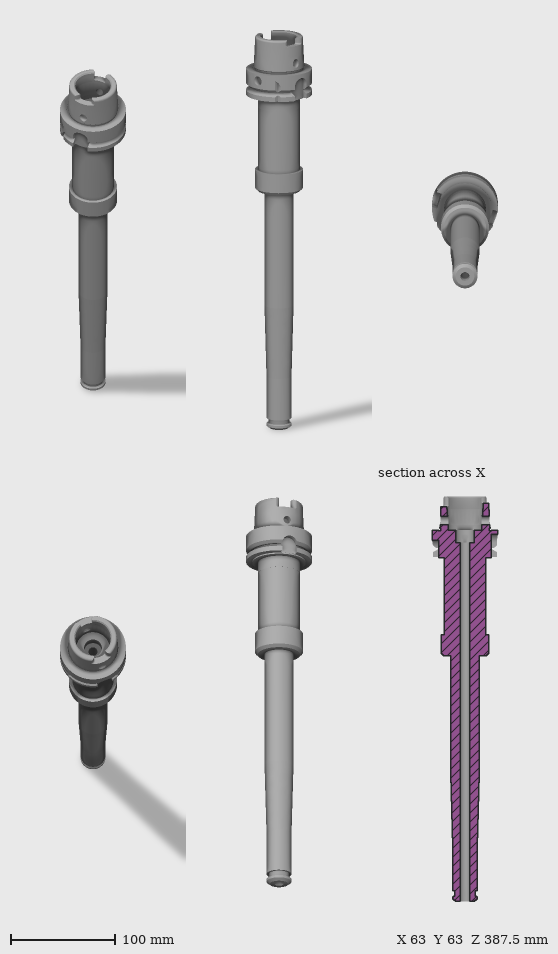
import cadquery as cq
import math


cutter_clearance = 4.0

shank_length = 32.0
total_length = 387.5
z_shank_top = shank_length
z_bottom = shank_length - total_length
z_relief_top = 2.5
z_groove_top = -14.5
z_groove_bottom = -21.0
z_flange_bottom = -25.5
z_hub_bottom = -26.7
z_collar_bottom = -38.0
z_nut_top = -99.5
z_nut_bottom = -120.5
z_taper_top = -234.0
z_taper_bottom = -304.0
z_neck_top = -345.3
z_neck_bottom = -350.0

shank_tip_radius = 45.7 / 2
shank_base_radius = 48.5 / 2
shank_tip_round = 2.0
relief_depth = 0.8
face_relief_radius = 25.0
face_relief_depth = 0.5
flange_radius = 63.0 / 2
groove_floor_radius = 26.7
groove_lip_radius = 28.5
groove_lip_height = 2.7
hub_radius = 25.5
collar_radius = 40.3 / 2
body_radius = 40.0 / 2
nut_radius = 46.0 / 2
nut_chamfer = 2.7
tube_radius = 28.0 / 2
tip_radius = 24.0 / 2
neck_radius = 19.8 / 2
tip_face_radius = 18.0 / 2
tip_flank = 0.8
tip_rim_height = 2.5

groove_flank = (flange_radius - groove_floor_radius) * math.tan(math.radians(30))

bore_mouth_radius = 18.2
bore_mouth_chamfer = 1.0
bore_radius = 34.0 / 2
bore_straight_depth = 11.5
bore_floor_radius = 16.0
bore_cone_depth = 15.5
z_bore_floor = 0.0
feed_bore_radius = 17.0 / 2
feed_bore_depth = 11.5
coolant_radius = 8.5 / 2

z_cross_hole = 9.3
cross_hole_radius = 7.5 / 2
cross_hole_rim_radius = 9.0 / 2

drive_slot_width = 12.0
drive_slot_flare = 4.3
drive_slot_floor_round = 1.5
drive_slot_depth_front = 6.2
drive_slot_depth_back = 9.5

keyway_width = 15.0
keyway_floor = 25.5
z_keyway_center_front = -11.5
z_keyway_center_back = -17.5
notch_center_x = -28.0
notch_floor = 20.5
chip_hole_radius = 9.0 / 2
chip_hole_y = -4.0
z_chip_hole = -6.5
chip_hole_depth = 4.5


def make_body():
    """Turned outer shape."""
    tip_flat_radius = shank_tip_radius - shank_tip_round
    tip_round_mid = shank_tip_round * math.sqrt(0.5)
    relief_radius = shank_base_radius - relief_depth
    lower_profile = [
        (shank_base_radius, z_relief_top),
        (relief_radius, z_relief_top - relief_depth),
        (relief_radius, -face_relief_depth),
        (face_relief_radius, -face_relief_depth),
        (face_relief_radius, 0),
        (flange_radius, 0),
        (flange_radius, z_groove_top),
        (groove_lip_radius, z_groove_top - groove_lip_height),
        (groove_floor_radius, z_groove_top - groove_lip_height),
        (groove_floor_radius, z_groove_bottom + groove_flank),
        (flange_radius, z_groove_bottom),
        (flange_radius, z_flange_bottom),
        (hub_radius, z_flange_bottom),
        (hub_radius, z_hub_bottom),
        (collar_radius, z_hub_bottom),
        (collar_radius, z_collar_bottom),
        (body_radius, z_collar_bottom),
        (body_radius, z_nut_top),
        (nut_radius, z_nut_top),
        (nut_radius, z_nut_bottom + nut_chamfer),
        (nut_radius - nut_chamfer, z_nut_bottom),
        (tube_radius, z_nut_bottom),
        (tube_radius, z_taper_top),
        (tip_radius, z_taper_bottom),
        (tip_radius, z_neck_top),
        (neck_radius, z_neck_top),
        (neck_radius, z_neck_bottom),
        (tip_radius, z_neck_bottom - tip_flank),
        (tip_radius, z_neck_bottom - tip_flank - tip_rim_height),
        (tip_face_radius, z_bottom),
        (0, z_bottom),
    ]
    outline = (
        cq.Workplane("XZ")
        .moveTo(0, z_shank_top)
        .lineTo(tip_flat_radius, z_shank_top)
        .threePointArc(
            (tip_flat_radius + tip_round_mid, z_shank_top - shank_tip_round + tip_round_mid),
            (shank_tip_radius, z_shank_top - shank_tip_round),
        )
    )
    for point in lower_profile:
        outline = outline.lineTo(*point)
    return outline.close().revolve(360, (0, 0), (0, 1))


def make_bores():
    """Clamping bore, feed bore and coolant hole as one turned cutter."""
    z_straight_end = z_shank_top - bore_straight_depth
    z_feed_end = z_bore_floor - feed_bore_depth
    profile = [
        (0, z_shank_top),
        (bore_mouth_radius, z_shank_top),
        (bore_radius, z_shank_top - bore_mouth_chamfer),
        (bore_radius, z_straight_end),
        (bore_floor_radius, z_straight_end - bore_cone_depth),
        (bore_floor_radius, z_bore_floor),
        (feed_bore_radius, z_bore_floor),
        (feed_bore_radius, z_feed_end),
        (coolant_radius, z_feed_end),
        (coolant_radius, z_bottom),
        (0, z_bottom),
    ]
    return cq.Workplane("XZ").polyline(profile).close().revolve(360, (0, 0), (0, 1))


def make_drive_slot(depth, side):
    """Slot across the shank wall whose sides flare outward in a rounded edge; side is -1 or 1 along Y."""
    half = drive_slot_width / 2
    flare_half = half + drive_slot_flare
    y_outer = math.sqrt(shank_tip_radius**2 - flare_half**2)
    y_inner = y_outer - drive_slot_flare
    y_clear = shank_base_radius + cutter_clearance
    bend = drive_slot_flare * (1 - math.sqrt(0.5))
    outline = (
        cq.Workplane("XY")
        .workplane(offset=z_shank_top - depth)
        .moveTo(-half, 0)
        .lineTo(half, 0)
        .lineTo(half, side * y_inner)
        .threePointArc((half + bend, side * (y_outer - bend)), (flare_half, side * y_outer))
        .lineTo(flare_half, side * y_clear)
        .lineTo(-flare_half, side * y_clear)
        .lineTo(-flare_half, side * y_outer)
        .threePointArc((-half - bend, side * (y_outer - bend)), (-half, side * y_inner))
        .close()
    )
    return outline.extrude(depth).faces("<Z").edges().fillet(drive_slot_floor_round)


def make_cross_hole():
    """Hole along Y through both shank walls, with a chamfered rim on the outside."""
    rim_depth = cross_hole_rim_radius - cross_hole_radius
    y_wall = shank_base_radius
    y_clear = y_wall + cutter_clearance
    front_rim = [
        (cross_hole_rim_radius, -y_clear),
        (cross_hole_rim_radius, -y_wall),
        (cross_hole_radius, rim_depth - y_wall),
    ]
    back_rim = [(x, -y) for x, y in reversed(front_rim)]
    profile = [(0, -y_clear)] + front_rim + back_rim + [(0, y_clear)]
    outline = cq.Workplane("XY", origin=(0, 0, z_cross_hole)).polyline(profile).close()
    return outline.revolve(360, (0, 0), (0, 1))


def make_keyway(x_center, z_center, y_floor, side):
    """Round-topped keyway open toward the flange underside; side is -1 or 1 along Y."""
    radius = keyway_width / 2
    outline = (
        cq.Workplane("XZ", origin=(x_center, side * y_floor, 0))
        .moveTo(-radius, z_hub_bottom)
        .lineTo(radius, z_hub_bottom)
        .lineTo(radius, z_center)
        .threePointArc((0, z_center + radius), (-radius, z_center))
        .close()
    )
    return outline.extrude(-side * flange_radius)


def make_chip_hole():
    """Blind round pocket in the -X side of the flange."""
    start = cq.Workplane("YZ", origin=(-flange_radius, chip_hole_y, z_chip_hole))
    return start.circle(chip_hole_radius).extrude(chip_hole_depth)


result = (
    make_body()
    .cut(make_bores())
    .cut(make_drive_slot(drive_slot_depth_front, -1))
    .cut(make_drive_slot(drive_slot_depth_back, 1))
    .cut(make_cross_hole())
    .cut(make_keyway(0, z_keyway_center_front, keyway_floor, -1))
    .cut(make_keyway(0, z_keyway_center_back, keyway_floor, 1))
    .cut(make_keyway(notch_center_x, z_keyway_center_front, notch_floor, -1))
    .cut(make_chip_hole())
)